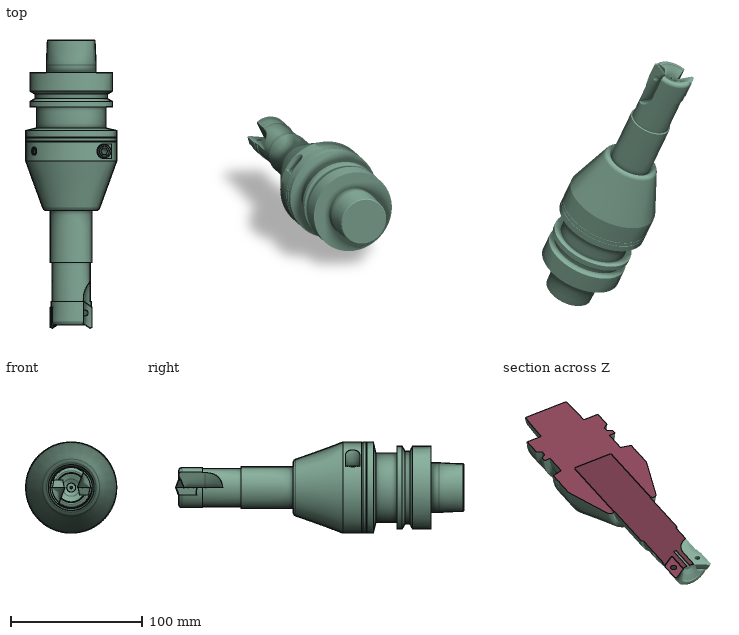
import cadquery as cq
import math


taper_length = 25.0
taper_collar = 6.0
taper_collar_radius = 19.0
taper_end_radius = 18.2
taper_end_chamfer = 0.6
flange_radius = 31.5
flange_length = 26.0
grip_groove_center = 18.0
grip_groove_radius = 27.7
grip_groove_floor = 3.6
grip_groove_flank_angle = 30.0

neck_radius = 26.5
neck_end = 42.0
chuck_radius = 34.75
shoulder_end = 44.0
ring_groove_positions = (49.2, 52.4)
ring_groove_width = 0.8
ring_groove_depth = 0.3
cone_start = 67.0
chuck_end = 105.0
cone_angle = 20.0
nose_fillet = 3.0

screw_position = 59.7
clamp_screw_x = 25.2
clamp_flat_z = 16.3
clamp_flat_half_width = 5.6
clamp_ring_outer_radius = 5.0
clamp_ring_inner_radius = 3.8
clamp_ring_depth = 0.8
clamp_socket_width = 4.7
clamp_socket_depth = 4.0

bleed_screw_angle = 145.0
bleed_screw_sink = 0.5
bleed_ring_outer_radius = 3.1
bleed_ring_inner_radius = 2.4
bleed_ring_depth = 0.8
bleed_socket_width = 3.0
bleed_socket_depth = 2.5

socket_cone_angle = 30.0

shank_radius = 16.0
shank_depth_in_chuck = 60.0
bore_chamfer = 1.5
shank_end = 144.5
cutter_neck_radius = 14.65
head_start = 174.0
head_radius = 15.3
head_end = 192.1
head_fillet = 2.5
coolant_radius = 0.9
coolant_depth = 20.0
dish_corners = ((11.4, 0.0), (10.9, 0.7), (6.6, 2.8), (3.4, 4.9))

gullet_wall_x = 4.7
gullet_wall_lean = 21.5
gullet_straight_end = 172.2
gullet_runout_radius = 14.7

total_length = 219.48
tip_end = total_length - taper_length
insert_inner_x = 5.3
insert_tip_x = 14.3
insert_outer_x = shank_radius
insert_wiper_drop = 0.6
insert_back_outer = 178.5
insert_end_angle = 34.0
insert_thickness = 5.6
insert_relief = 11.0
insert_hole_radius = 2.2

oversize = 60.0


def revolve_about_axis(points):
    """Solid of revolution about Y from (radius, axial position) points."""
    outline = [(radius, -position) for radius, position in points]
    return cq.Workplane("XY").polyline(outline).close().revolve(360, (0, 0, 0), (0, 1, 0))


def ring(outer_radius, inner_radius, depth):
    """Ring lying just below the XY plane."""
    return cq.Workplane("XY").circle(outer_radius).circle(inner_radius).extrude(-depth)


def hex_socket(width, depth):
    """Hexagonal hole, given across flats, below the XY plane and ending in a conical drill point."""
    across_corners = width / math.cos(math.pi / 6)
    cone_depth = across_corners / 2 * math.tan(math.radians(socket_cone_angle))
    hexagon = cq.Workplane("XY").polygon(6, across_corners).extrude(-depth - cone_depth)
    drill = (
        cq.Workplane("XZ")
        .polyline([(0, 0), (across_corners / 2, 0), (across_corners / 2, -depth), (0, -depth - cone_depth)])
        .close()
        .revolve(360, (0, 0, 0), (0, 1, 0))
    )
    return hexagon.intersect(drill)


def half_turn(body):
    return body.rotate((0, 0, 0), (0, 1, 0), 180)


def holder_blank():
    flank = (flange_radius - grip_groove_radius) * math.tan(math.radians(grip_groove_flank_angle))
    floor_start = grip_groove_center - grip_groove_floor / 2
    floor_end = grip_groove_center + grip_groove_floor / 2
    nose_radius = chuck_radius - (chuck_end - cone_start) * math.tan(math.radians(cone_angle))
    blank = revolve_about_axis([
        (0, -taper_length),
        (taper_end_radius - taper_end_chamfer, -taper_length),
        (taper_end_radius, taper_end_chamfer - taper_length),
        (taper_collar_radius, -taper_collar),
        (taper_collar_radius, 0),
        (flange_radius, 0),
        (flange_radius, floor_start - flank),
        (grip_groove_radius, floor_start),
        (grip_groove_radius, floor_end),
        (flange_radius, floor_end + flank),
        (flange_radius, flange_length),
        (neck_radius, flange_length),
        (neck_radius, neck_end),
        (chuck_radius, shoulder_end),
        (chuck_radius, cone_start),
        (nose_radius, chuck_end),
        (0, chuck_end),
    ])
    return blank.faces("<Y").edges().fillet(nose_fillet)


def ring_groove(center):
    start = center - ring_groove_width / 2
    end = center + ring_groove_width / 2
    floor_radius = chuck_radius - ring_groove_depth
    return revolve_about_axis([
        (floor_radius, start), (chuck_radius, start), (chuck_radius, end), (floor_radius, end),
    ])


def shank_bore():
    return revolve_about_axis([
        (0, chuck_end - shank_depth_in_chuck),
        (shank_radius, chuck_end - shank_depth_in_chuck),
        (shank_radius, chuck_end - bore_chamfer),
        (shank_radius + bore_chamfer, chuck_end),
        (0, chuck_end),
    ])


def clamp_screw_recess():
    """U-shaped flat open to the side, with the ring gap and socket of the screw in its floor."""
    flat = cq.Workplane("XY").circle(clamp_flat_half_width).extrude(oversize)
    open_side = cq.Workplane("XY").box(
        oversize, 2 * clamp_flat_half_width, oversize, centered=(False, True, False)
    )
    recess = (
        flat.union(open_side)
        .union(ring(clamp_ring_outer_radius, clamp_ring_inner_radius, clamp_ring_depth))
        .union(hex_socket(clamp_socket_width, clamp_socket_depth))
    )
    return recess.translate((clamp_screw_x, -screw_position, clamp_flat_z))


def bleed_screw_recess():
    """Round recess along a radius, with the ring gap and socket of the screw in its floor."""
    recess = (
        cq.Workplane("XY").circle(bleed_ring_outer_radius).extrude(oversize)
        .union(ring(bleed_ring_outer_radius, bleed_ring_inner_radius, bleed_ring_depth))
        .union(hex_socket(bleed_socket_width, bleed_socket_depth))
    )
    recess = recess.translate((0, -screw_position, chuck_radius - bleed_screw_sink))
    return recess.rotate((0, 0, 0), (0, 1, 0), 90 - bleed_screw_angle)


def make_holder():
    holder = holder_blank().cut(shank_bore())
    for position in ring_groove_positions:
        holder = holder.cut(ring_groove(position))
    return holder.cut(clamp_screw_recess()).cut(bleed_screw_recess())


def insert_outline(inset):
    """Corners of the insert with every side moved inward by the inset."""
    angle = math.radians(insert_end_angle)
    slope = math.tan(angle)
    end_shift = inset / math.cos(angle)
    outer_x = insert_outer_x - inset
    inner_x = insert_inner_x + inset
    tip_x = insert_tip_x - inset
    tip = tip_end - inset * slope - end_shift
    back_outer = insert_back_outer - inset * slope + end_shift
    corners = [
        (outer_x, back_outer),
        (outer_x, tip - insert_wiper_drop),
        (tip_x, tip),
        (inner_x, tip - (tip_x - inner_x) * slope),
        (inner_x, back_outer - (outer_x - inner_x) * slope),
    ]
    return [(x, -position) for x, position in corners]


def relieved_plate(outline):
    """Plate below Z = 0 whose sides lean inward by the relief angle."""
    inset = insert_thickness * math.tan(math.radians(insert_relief))
    return (
        cq.Workplane("XY").polyline(outline(0)).close()
        .workplane(offset=-insert_thickness)
        .polyline(outline(inset)).close()
        .loft(ruled=True)
    )


def make_insert():
    center_x = (insert_inner_x + insert_outer_x) / 2
    half_slope = (insert_outer_x - insert_inner_x) / 2 * math.tan(math.radians(insert_end_angle))
    center_position = (insert_back_outer + tip_end) / 2 - half_slope
    hole = (
        cq.Workplane("XY").center(center_x, -center_position)
        .circle(insert_hole_radius).extrude(-insert_thickness)
    )
    return relieved_plate(insert_outline).cut(hole)


def pocket_outline(inset):
    """Insert outline with its front carried straight out through the end of the cutter."""
    back_outer, _, _, front_inner, back_inner = insert_outline(inset)
    return [back_outer, (back_outer[0], -tip_end), (front_inner[0], -tip_end), back_inner]


def cutter_blank():
    blank = revolve_about_axis([
        (0, chuck_end - shank_depth_in_chuck),
        (shank_radius, chuck_end - shank_depth_in_chuck),
        (shank_radius, shank_end),
        (cutter_neck_radius, shank_end),
        (cutter_neck_radius, head_start),
        (head_radius, head_start),
        (head_radius, head_end),
        (0, head_end),
    ])
    blank = blank.faces("<Y").edges().fillet(head_fillet)
    dish = [(radius, head_end - depth) for radius, depth in dish_corners]
    dish_floor = dish[-1][1]
    blank = blank.cut(revolve_about_axis([(0, head_end), *dish, (0, dish_floor)]))
    coolant = revolve_about_axis([
        (0, dish_floor - coolant_depth),
        (coolant_radius, dish_floor - coolant_depth),
        (coolant_radius, dish_floor),
        (0, dish_floor),
    ])
    return blank.cut(coolant)


def gullet():
    """Space above Z = 0 on the +X side: a leaning wall that sweeps outward in an arc at its rear."""
    radius = gullet_runout_radius
    arc_offset = radius * math.sqrt(0.5)
    profile = (
        cq.Workplane("XY")
        .moveTo(0, -tip_end)
        .lineTo(0, -gullet_straight_end)
        .threePointArc(
            (radius - arc_offset, arc_offset - gullet_straight_end),
            (radius, radius - gullet_straight_end),
        )
        .lineTo(oversize, radius - gullet_straight_end)
        .lineTo(oversize, -tip_end)
        .close()
        .extrude(oversize, both=True)
    )
    leaning = profile.rotate((0, 0, 0), (0, 1, 0), gullet_wall_lean).translate((gullet_wall_x, 0, 0))
    above_floor = cq.Workplane("XY").box(
        4 * oversize, 4 * tip_end, 2 * oversize, centered=(True, True, False)
    )
    return leaning.intersect(above_floor)


def make_cutter():
    cutter = cutter_blank()
    for removed in (gullet(), relieved_plate(pocket_outline)):
        cutter = cutter.cut(removed).cut(half_turn(removed))
    return cutter


holder = make_holder()
cutter = make_cutter()
insert = make_insert()
inserts = [insert.rotate((0, 0, 0), (0, 1, 0), turn) for turn in (0, 180)]

result = cq.Compound.makeCompound([holder.val(), cutter.val(), *[body.val() for body in inserts]])